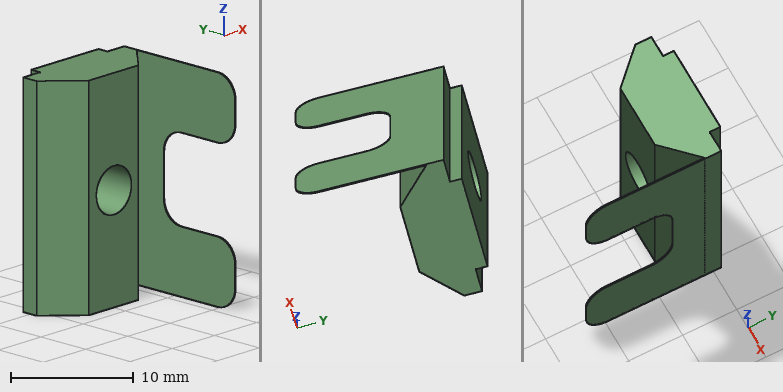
import cadquery as cq

width = 12.0
height = 20.0
total_depth = 13.5

rail_width = 8.0
rail_depth = 1.0
side_depth = 1.5
chamfer = 3.0
hole_diameter = 4.15

plate_thickness = 0.1
notch_height = 8.0
corner_radius = 2.0
selection_margin = 0.2

half_width = width / 2
half_rail = rail_width / 2
body_left = -half_width
body_right = half_width - plate_thickness
shoulder_y = -rail_depth
chamfer_y = shoulder_y - side_depth
front_y = chamfer_y - chamfer


def make_body():
    """Nut body: stepped back, chamfered front, with a through hole along Y."""
    body = (
        cq.Workplane("XY")
        .polyline([
            (-half_rail, 0),
            (half_rail, 0),
            (half_rail, shoulder_y),
            (body_right, shoulder_y),
            (body_right, chamfer_y),
            (body_right - chamfer, front_y),
            (body_left + chamfer, front_y),
            (body_left, chamfer_y),
            (body_left, shoulder_y),
            (-half_rail, shoulder_y),
        ])
        .close()
        .extrude(height / 2, both=True)
    )
    hole = cq.Workplane("XZ").circle(hole_diameter / 2).extrude(-front_y)
    return body.cut(hole)


def make_plate():
    """Plate with two rounded legs either side of a rounded notch."""
    half_height = height / 2
    half_notch = notch_height / 2
    plate = (
        cq.Workplane("YZ", origin=(half_width - plate_thickness, 0, 0))
        .polyline([
            (shoulder_y, -half_height),
            (-total_depth, -half_height),
            (-total_depth, -half_notch),
            (front_y, -half_notch),
            (front_y, half_notch),
            (-total_depth, half_notch),
            (-total_depth, half_height),
            (shoulder_y, half_height),
        ])
        .close()
        .extrude(plate_thickness)
    )
    leg_corners = plate.edges("|X and <Y")
    notch_corners = plate.edges(
        cq.selectors.BoxSelector(
            (0, front_y - selection_margin, -half_notch - selection_margin),
            (width, front_y + selection_margin, half_notch + selection_margin),
        )
    ).edges("|X")
    return plate.newObject(leg_corners.vals() + notch_corners.vals()).fillet(corner_radius)


result = make_body().union(make_plate())